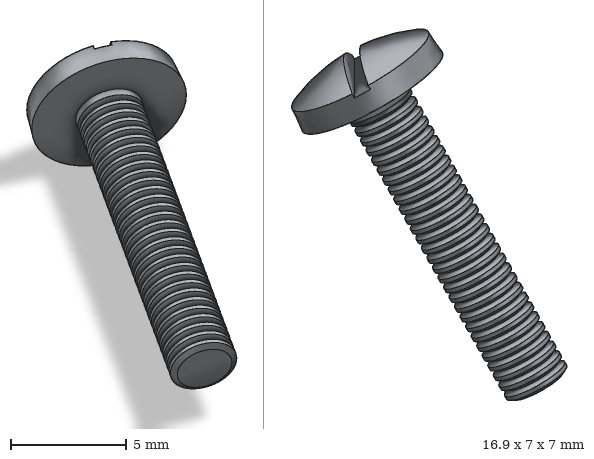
import cadquery as cq
import math

overall_length = 16.89
shank_length = 15.0
head_diameter = 7.0
dome_radius = 7.68
dome_edge_diameter = 6.8

slot_width = 0.8
slot_depth = 1.0

thread_diameter = 3.0
ridge_count = 30
thread_flank_angle = 60.0
thread_depth = 0.27

pitch = shank_length / ridge_count
thread_radius = thread_diameter / 2
root_radius = thread_radius - thread_depth
flank_length = thread_depth * math.tan(math.radians(thread_flank_angle / 2))
crest_width = pitch - 2 * flank_length


def dome_sag(radius):
    """Axial drop of the dome from its apex at the given radius."""
    return dome_radius - math.sqrt(dome_radius**2 - radius**2)


apex_x = shank_length - overall_length - dome_sag(slot_width / 2)


def make_head():
    """Shallow dome on a slightly tapered side wall."""
    edge_radius = dome_edge_diameter / 2
    edge_x = apex_x + dome_sag(edge_radius)
    middle_radius = edge_radius / 2
    middle_x = apex_x + dome_sag(middle_radius)
    return (
        cq.Workplane("XY")
        .moveTo(apex_x, 0)
        .threePointArc((middle_x, middle_radius), (edge_x, edge_radius))
        .lineTo(0, head_diameter / 2)
        .lineTo(0, 0)
        .close()
        .revolve(360, (0, 0), (1, 0))
    )


def make_shank():
    """Ridges with flat crests and sharp roots; the first meets the head at full diameter."""
    profile = cq.Workplane("XY").lineTo(0, thread_radius)
    for ridge in range(ridge_count):
        crest_end = ridge * pitch + flank_length + crest_width
        if ridge > 0:
            profile = profile.lineTo(crest_end - crest_width, thread_radius)
        profile = profile.lineTo(crest_end, thread_radius)
        profile = profile.lineTo(crest_end + flank_length, root_radius)
    return profile.lineTo(shank_length, 0).close().revolve(360, (0, 0), (1, 0))


def make_slot():
    """Cutter for the screwdriver slot, running along Z right across the head."""
    return (
        cq.Workplane("XY")
        .box(slot_depth, slot_width, 2 * head_diameter, centered=(False, True, True))
        .translate((apex_x, 0, 0))
    )


result = make_head().union(make_shank()).cut(make_slot())